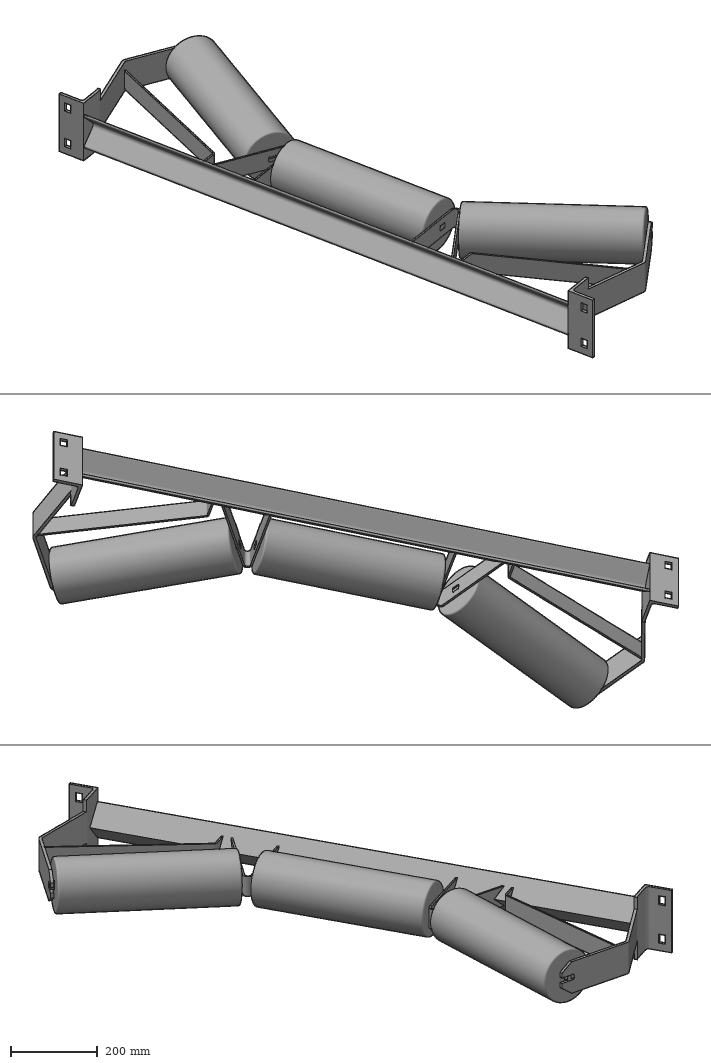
import cadquery as cq
import math

HALF_LENGTH = 750.0

ROLLER_LENGTH = 430.0
ROLLER_DIAMETER = 134.0
RIM_RADIUS = 5.0
SHAFT_DIAMETER = 21.0
FLAT_WIDTH = 14.0
END_GAP = 5.0
CENTRE_ROLLER_Y = 150.0
WING_X = 453.0
WING_Y = 270.0
TROUGH_ANGLE = 30.0
OUTER_LIFT = 9.0

BEAM_LEG = 66.0
BEAM_THICKNESS = 6.0
BEAM_ROOT_RADIUS = 9.0
BEAM_TOE_RADIUS = 5.0

PLATE_THICKNESS = 8.0
PLATE_BEND_RADIUS = 8.0
FOOT_HEIGHT = 160.0
FOOT_WIDTH = 69.0
FOOT_TOP_Y = 70.0
LOWER_BEND_Y = 66.0
UPPER_BEND_Y = 235.0
ARM_HEIGHT = 81.0
ARM_LENGTH = 195.0
TIP_CHAMFER_LENGTH = 28.0
TIP_CHAMFER_HEIGHT = 21.0
BOLT_HOLE_WIDTH = 16.0
BOLT_HOLE_HEIGHT = 22.0
BOLT_HOLE_SPACING = 99.0
BOLT_HOLE_EDGE = 24.0

BAR_THICKNESS = 5.0
BAR_HEIGHT = 51.0
HAIRPIN_RADIUS = 8.0
STRUT_X = 362.0
STRUT_BEND_Y = 68.0
STRUT_BEND_RADIUS = 3.0

LIFT_ANGLE = math.degrees(math.asin(OUTER_LIFT / ROLLER_LENGTH))
BEAM_DEPTH = (BEAM_LEG + BEAM_THICKNESS) / math.sqrt(2)
WEB_INNER_X = HALF_LENGTH - FOOT_WIDTH
COS_TROUGH = math.cos(math.radians(TROUGH_ANGLE))
SIN_TROUGH = math.sin(math.radians(TROUGH_ANGLE))
SUPPORT_FACE = ROLLER_LENGTH / 2 + END_GAP
HAIRPIN_AXIAL = SUPPORT_FACE + BAR_THICKNESS / 2
ARM_AXIAL = SUPPORT_FACE + PLATE_THICKNESS / 2
INNER_SHAFT_END = SUPPORT_FACE + BAR_THICKNESS
OUTER_SHAFT_END = SUPPORT_FACE + PLATE_THICKNESS
BAR_END_Y = BEAM_DEPTH - BAR_HEIGHT / 2


def wing_point(axial, y):
    """Point at height y on the line square to the left wing roller, `axial` along its axis."""
    return (-WING_X + (axial + (y - WING_Y) * SIN_TROUGH) / COS_TROUGH, y)


def place_left_wing(body):
    """Move a body built along X at the origin to the left wing roller's axis."""
    return (
        body.rotate((0, 0, 0), (0, 1, 0), LIFT_ANGLE)
        .rotate((0, 0, 0), (0, 0, 1), -TROUGH_ANGLE)
        .translate((-WING_X, WING_Y, OUTER_LIFT / 2))
    )


def place_centre(body):
    return body.translate((0, CENTRE_ROLLER_Y, 0))


def mirrored(body):
    return body.mirror("YZ")


def bent_strip(path, thickness, height, z_middle, bend_radius, sharp_outside=()):
    """Flat bar of upright width `height`, bent along the middle line `path` in the XY plane.

    Bends whose path index is in `sharp_outside` keep a square outer corner.
    """
    directions = []
    for (x0, y0), (x1, y1) in zip(path, path[1:]):
        length = math.hypot(x1 - x0, y1 - y0)
        directions.append(((x1 - x0) / length, (y1 - y0) / length))
    before = [directions[0]] + directions
    after = directions + [directions[-1]]
    left, right = [], []
    for (x, y), (ax, ay), (bx, by) in zip(path, before, after):
        reach = thickness / 2 / (1 + ax * bx + ay * by)
        shift_x = -(ay + by) * reach
        shift_y = (ax + bx) * reach
        left.append((x + shift_x, y + shift_y))
        right.append((x - shift_x, y - shift_y))
    bottom = z_middle - height / 2
    strip = cq.Workplane("XY", origin=(0, 0, bottom)).polyline(left + right[::-1]).close().extrude(height)
    for i in range(1, len(path) - 1):
        turn = before[i][0] * after[i][1] - before[i][1] * after[i][0]
        inner, outer = (left[i], right[i]) if turn > 0 else (right[i], left[i])
        rounds = [(inner, bend_radius)]
        if i not in sharp_outside:
            rounds.append((outer, bend_radius + thickness))
        for corner, radius in rounds:
            edge = cq.selectors.NearestToPointSelector((*corner, z_middle))
            strip = strip.edges("|Z").edges(edge).fillet(radius)
    return strip


def make_shaft(left_end, right_end):
    """Round shaft along X with two flats on each end that sticks out of the roller."""
    shaft = (
        cq.Workplane("YZ", origin=(-left_end, 0, 0))
        .circle(SHAFT_DIAMETER / 2)
        .extrude(left_end + right_end)
    )
    full_round = cq.Workplane("XY").box(ROLLER_LENGTH, SHAFT_DIAMETER, SHAFT_DIAMETER)
    flatted = cq.Workplane("XY").box(3 * ROLLER_LENGTH, SHAFT_DIAMETER, FLAT_WIDTH)
    return shaft.intersect(full_round.union(flatted))


def make_roller():
    """Roller along X with rounded rims and a bore for its shaft."""
    return (
        cq.Workplane("YZ", origin=(-ROLLER_LENGTH / 2, 0, 0))
        .circle(ROLLER_DIAMETER / 2)
        .extrude(ROLLER_LENGTH)
        .edges()
        .fillet(RIM_RADIUS)
        .faces("<X")
        .workplane(origin=(0, 0, 0))
        .hole(SHAFT_DIAMETER)
    )


def make_beam():
    """Angle section with its corner towards +Y and its legs at 45 degrees."""
    length = 2 * WEB_INNER_X
    beam = (
        cq.Workplane("YZ", origin=(-WEB_INNER_X, 0, 0))
        .polyline([
            (0, 0),
            (-BEAM_LEG, 0),
            (-BEAM_LEG, -BEAM_THICKNESS),
            (-BEAM_THICKNESS, -BEAM_THICKNESS),
            (-BEAM_THICKNESS, -BEAM_LEG),
            (0, -BEAM_LEG),
        ])
        .close()
        .extrude(length)
    )
    root = cq.selectors.NearestToPointSelector((0, -BEAM_THICKNESS, -BEAM_THICKNESS))
    beam = beam.edges("|X").edges(root).fillet(BEAM_ROOT_RADIUS)
    for toe in ((0, -BEAM_LEG, -BEAM_THICKNESS), (0, -BEAM_THICKNESS, -BEAM_LEG)):
        toe_edge = cq.selectors.NearestToPointSelector(toe)
        beam = beam.edges("|X").edges(toe_edge).fillet(BEAM_TOE_RADIUS)
    return beam.rotate((0, 0, 0), (1, 0, 0), -45).translate((0, BEAM_DEPTH, 0))


def beam_wedge():
    """Triangular space taken by the beam and its hollow, which the flat bars are notched around."""
    return (
        cq.Workplane("YZ", origin=(-WEB_INNER_X, 0, 0))
        .polyline([(BEAM_DEPTH, 0), (0, BEAM_DEPTH), (0, -BEAM_DEPTH)])
        .close()
        .extrude(2 * WEB_INNER_X)
    )


def left_hairpin():
    """Bent bar that carries the inner ends of the left wing roller and the centre roller."""
    foot = wing_point(HAIRPIN_AXIAL, BAR_END_Y)
    apex_y = BAR_END_Y + (-HAIRPIN_AXIAL - foot[0]) * COS_TROUGH / SIN_TROUGH
    path = [foot, (-HAIRPIN_AXIAL, apex_y), (-HAIRPIN_AXIAL, BAR_END_Y)]
    return bent_strip(path, BAR_THICKNESS, BAR_HEIGHT, 0, HAIRPIN_RADIUS)


def left_strut():
    """Diagonal bar from the beam to the bend of the left bracket's arm."""
    path = [
        (-STRUT_X, BAR_END_Y),
        (-STRUT_X, STRUT_BEND_Y),
        wing_point(-ARM_AXIAL, UPPER_BEND_Y),
    ]
    return bent_strip(path, BAR_THICKNESS, BAR_HEIGHT, 0, STRUT_BEND_RADIUS)


def make_crossbeam(shaft_bodies, bracket):
    """Beam with its hairpins and struts, which form one welded body."""
    supports = left_hairpin().union(left_strut().cut(bracket)).cut(beam_wedge())
    for shaft in shaft_bodies:
        supports = supports.cut(shaft)
    return make_beam().union(supports).union(mirrored(supports))


def arm_tip_corner(tip, side):
    """Triangular piece taken off the upper (side = 1) or lower (side = -1) corner of the arm's tip."""
    corner = (
        cq.Workplane("XZ")
        .polyline([(0, 0), (-TIP_CHAMFER_LENGTH, 0), (0, -side * TIP_CHAMFER_HEIGHT)])
        .close()
        .extrude(PLATE_THICKNESS, both=True)
    )
    corner = corner.rotate((0, 0, 0), (0, 0, 1), 90 - TROUGH_ANGLE)
    return corner.translate((*tip, OUTER_LIFT + side * ARM_HEIGHT / 2))


def shaft_slot():
    """Slot open at the arm's tip, as wide as the shaft's flats."""
    slot = cq.Workplane("XY").box(4 * PLATE_THICKNESS, ARM_LENGTH, FLAT_WIDTH)
    return place_left_wing(slot.translate((-ARM_AXIAL, ARM_LENGTH / 2, 0)))


def bolt_holes():
    """Two rectangular holes through the foot."""
    return (
        cq.Workplane("XZ")
        .center(-HALF_LENGTH + BOLT_HOLE_EDGE, 0)
        .rarray(15, BOLT_HOLE_SPACING, 1, 2)
        .rect(BOLT_HOLE_WIDTH, BOLT_HOLE_HEIGHT)
        .extrude(-PLATE_THICKNESS)
    )


def left_end_bracket(shaft):
    """Plate bent into a foot, a web against the beam's end and an arm that holds the wing shaft."""
    web_x = -WEB_INNER_X - PLATE_THICKNESS / 2
    bend = wing_point(-ARM_AXIAL, UPPER_BEND_Y)
    tip = (bend[0] + ARM_LENGTH * SIN_TROUGH, bend[1] + ARM_LENGTH * COS_TROUGH)
    path = [
        (-HALF_LENGTH, PLATE_THICKNESS / 2),
        (web_x, PLATE_THICKNESS / 2),
        (web_x, LOWER_BEND_Y),
        bend,
        tip,
    ]
    arm = bent_strip(path, PLATE_THICKNESS, ARM_HEIGHT, OUTER_LIFT, PLATE_BEND_RADIUS, sharp_outside=[1])
    foot = bent_strip(path, PLATE_THICKNESS, FOOT_HEIGHT, 0, PLATE_BEND_RADIUS, sharp_outside=[1])
    foot_space = cq.Workplane("XY").box(4 * HALF_LENGTH, 2 * FOOT_TOP_Y, FOOT_HEIGHT)
    bracket = arm.union(foot.intersect(foot_space))
    for side in (-1, 1):
        bracket = bracket.cut(arm_tip_corner(tip, side))
    return bracket.cut(shaft_slot()).cut(bolt_holes()).cut(shaft)


wing_shaft = place_left_wing(make_shaft(OUTER_SHAFT_END, INNER_SHAFT_END))
centre_shaft = place_centre(make_shaft(INNER_SHAFT_END, INNER_SHAFT_END))
shafts = [wing_shaft, centre_shaft, mirrored(wing_shaft)]

roller = make_roller()
wing_roller = place_left_wing(roller)
rollers = [wing_roller, place_centre(roller), mirrored(wing_roller)]

end_bracket = left_end_bracket(wing_shaft)
end_brackets = [end_bracket, mirrored(end_bracket)]

crossbeam = make_crossbeam([wing_shaft, centre_shaft], end_bracket)

bodies = [crossbeam, *end_brackets, *rollers, *shafts]
result = cq.Compound.makeCompound([solid for body in bodies for solid in body.solids().vals()])